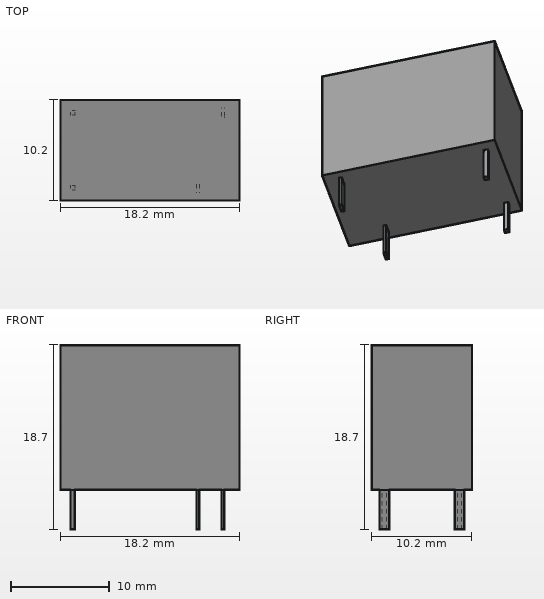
import cadquery as cq

CASE_LENGTH = 18.2
CASE_WIDTH = 10.2
CASE_HEIGHT = 14.7

PIN_LENGTH = 4.0
ROW_SPACING = 7.62
COIL_PIN_SIDE = 0.45
CONTACT_PIN_THICKNESS = 0.3
CONTACT_PIN_WIDTH = 1.0

COIL_PIN_INSET = 1.25
CONTACT_PIN_OFFSET = 12.71
CONTACT_PIN_STAGGER = 2.54

coil_x = -CASE_LENGTH / 2 + COIL_PIN_INSET
front_contact_x = coil_x + CONTACT_PIN_OFFSET
rear_contact_x = front_contact_x + CONTACT_PIN_STAGGER
front_row_y = -ROW_SPACING / 2
rear_row_y = ROW_SPACING / 2


def make_case():
    return cq.Workplane("XY").box(CASE_LENGTH, CASE_WIDTH, CASE_HEIGHT, centered=(True, True, False))


def make_pin(x, y, size_x, size_y):
    """Rectangular pin running down from the underside of the case."""
    return cq.Workplane("XY").center(x, y).rect(size_x, size_y).extrude(-PIN_LENGTH)


result = make_case()

for row_y in (front_row_y, rear_row_y):
    result = result.union(make_pin(coil_x, row_y, COIL_PIN_SIDE, COIL_PIN_SIDE))

for contact_x, row_y in ((front_contact_x, front_row_y), (rear_contact_x, rear_row_y)):
    result = result.union(make_pin(contact_x, row_y, CONTACT_PIN_THICKNESS, CONTACT_PIN_WIDTH))